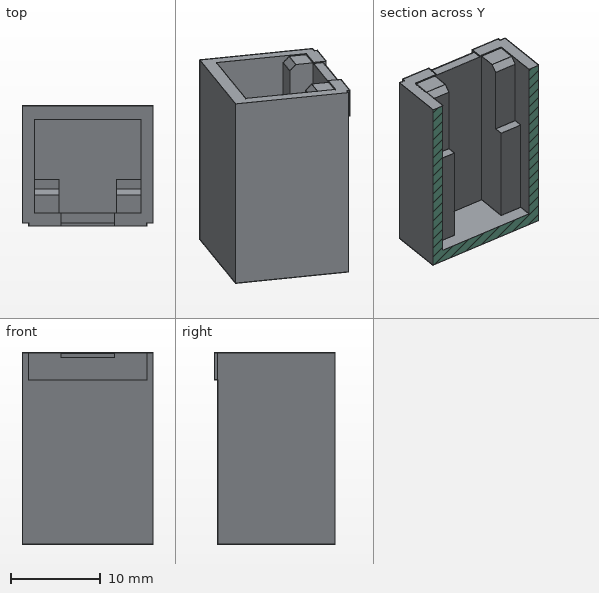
import cadquery as cq

width = 14.5
height = 21.3
total_depth = 13.4
lip_thickness = 0.35
body_depth = total_depth - lip_thickness

side_wall = 1.36
front_wall = 1.13
back_wall = 1.55
floor = 1.53
cavity_width = width - 2 * side_wall
cavity_depth = body_depth - front_wall - back_wall

lip_width = 13.15
lip_height = 3.05

notch_width = 5.96
rim_drop = 0.13
lip_drop = 0.53

support_width = 2.68
top_length = 1.98
chamfer = 0.68
step_length = 1.05
step_top = 12.78


def block(x_size, y_start, y_size, z_start, z_end):
    """Box centred on X, spanning the given Y and Z ranges."""
    return cq.Workplane("XY").box(
        x_size, y_size, z_end - z_start, centered=(True, False, False)
    ).translate((0, y_start, z_start))


def support(x_start):
    """Corner support with a sloped top edge and a lower step behind it."""
    support_top = height - rim_drop
    slope_start = front_wall + top_length
    slope_end = slope_start + chamfer
    step_end = slope_end + step_length
    profile = [
        (front_wall, floor),
        (front_wall, support_top),
        (slope_start, support_top),
        (slope_end, support_top - chamfer),
        (slope_end, step_top),
        (step_end, step_top),
        (step_end, floor),
    ]
    return (
        cq.Workplane("YZ", origin=(x_start, 0, 0))
        .polyline(profile)
        .close()
        .extrude(support_width)
    )


body = block(width, 0, body_depth, 0, height)
body = body.union(block(lip_width, -lip_thickness, lip_thickness, height - lip_height, height))
body = body.cut(block(cavity_width, front_wall, cavity_depth, floor, height))

body = body.cut(block(notch_width, 0, front_wall, height - rim_drop, height))
body = body.cut(block(notch_width, -lip_thickness, lip_thickness, height - lip_drop, height))

for x_start in (-cavity_width / 2, cavity_width / 2 - support_width):
    body = body.union(support(x_start))

result = body.translate((0, lip_thickness - total_depth / 2, 0))